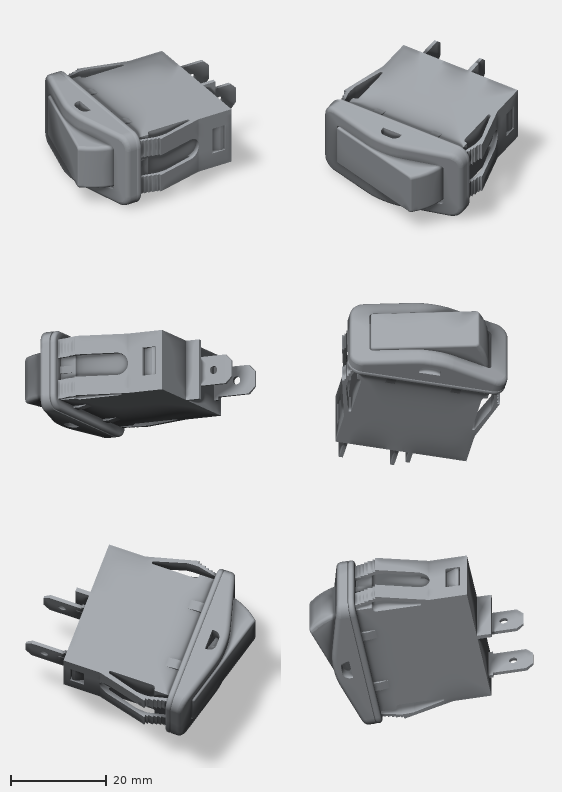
import cadquery as cq
import math


BEZEL_LENGTH = 34.0
BEZEL_HEIGHT = 17.0
BEZEL_CORNER_RADIUS = 2.9
GASKET_THICKNESS = 1.3
GASKET_BACK_RADIUS = 0.6
GASKET_FRONT_RADIUS = 0.5
BEZEL_DEPTH = 7.4
BEZEL_EDGE_RADIUS = 1.0
CREST_FLAT_HALF = 0.48
CREST_ARC_RADIUS = 15.4
TILT = 15.0

OPENING_LENGTH = 26.3
OPENING_HEIGHT = 10.36
OPENING_CORNER_RADIUS = 0.75
OPENING_FLOOR_Y = -1.5
PIVOT_Y = -3.1
PIVOT_HOLE_WIDTH = 4.56
PIVOT_HOLE_BACK_Y = -3.66
PIVOT_HOLE_FRONT_Y = -5.68
PIVOT_HOLE_CORNER_RADIUS = 1.5

ROCKER_HEIGHT = 10.0
ROCKER_LEFT = -12.05
ROCKER_FACE = -5.27
ROCKER_BACK = 5.0
ROCKER_END_RADIUS = 13.9
ROCKER_END_CENTRE = (-1.46, 1.5)
ROCKER_EDGE_RADIUS = 0.5
ROCKER_END_EDGE_RADIUS = 0.8
ROCKER_TAIL_EDGE_RADIUS = 0.35
ROCKER_NOTCH_WIDTH = 3.2
ROCKER_NOTCH_FLOOR = -0.7
PIN_RADIUS = 1.15
PIN_CENTRE = (-0.72, -1.9)
PIN_LENGTH = 1.0
PIN_RAMP_WIDTH = 1.2

BODY_HALF_LENGTH = BEZEL_LENGTH / 2 - BEZEL_CORNER_RADIUS
BODY_HEIGHT = 12.8
BODY_BACK_Y = 23.7
CORE_HALF_LENGTH = 13.0
WALL = BODY_HALF_LENGTH - CORE_HALF_LENGTH
SHOULDER_Y = 4.25
SHOULDER_INNER_RADIUS = 0.8
SHOULDER_OUTER_RADIUS = WALL - SHOULDER_INNER_RADIUS

ARM_BEND_Y = 15.6
ARM_GAP_RADIUS = 0.33
ARM_GAP_END_Y = 13.8
ARM_INNER_X = 15.73
ARM_INNER_CURVE_START = (15.6, 6.9)
ARM_INNER_CURVE_MID = (15.71, 5.7)
ARM_INNER_CURVE_END_Y = 4.2
ARM_FOOT_INNER_X = 14.75
TOOTH_STEPS_Y = (4.0, 2.9, 2.1, 1.28, 0.57)
TOOTH_TOP_Y = 4.57
TOOTH_CREST_X = 15.57
TOOTH_DEPTH = 0.38
ARM_SLOT_HEIGHT = 4.8
ARM_SLOT_END_Y = 15.7

RIB_HEIGHT = 1.5
RIB_START_Y = 2.8
RIB_FULL_Y = 0.57
RIB_RISE = 0.4
NUB_X = 7.0
NUB_WIDTH = 2.1
NUB_START_Y = 3.2
NUB_FULL_Y = 1.3
NUB_RISE = 0.45
WINDOW_BACK_Y = 22.2
WINDOW_FRONT_Y = 19.1
WINDOW_HEIGHT = 6.0
LATCH_BACK_Y = 21.9
LATCH_CREST_Y = 21.2
LATCH_FRONT_Y = 19.3
LATCH_RISE = 0.8

TERMINAL_XS = (-11.05, 0.0)
TERMINAL_THICKNESS = 0.74
TERMINAL_TIP_Y = 33.2
TERMINAL_HALF_WIDTH = 3.1
TERMINAL_TIP_CHAMFER = 1.4
TERMINAL_TIP_TAPER = 0.12
TERMINAL_SHOULDER_HALF_WIDTH = 3.8
TERMINAL_SHOULDER_Y = 24.65
TERMINAL_HOLE_DIAMETER = 1.7
TERMINAL_HOLE_Y = 29.0
STOP_HALF_WIDTH = 1.32
STOP_END_Y = 25.75
STOP_RISE = 0.1
BARRIER_X = 2.13
BARRIER_THICKNESS = 0.9
BARRIER_END_Y = 26.75

EMBED = 0.5


def block(x_range, y_range, z_range):
    """Box between pairs of limits."""
    sizes = [high - low for low, high in (x_range, y_range, z_range)]
    corner = (x_range[0], y_range[0], z_range[0])
    return cq.Workplane("XY").box(*sizes, centered=False).translate(corner)


def slab(outline, height):
    """Extrude a closed XY outline to a height centred on Z = 0."""
    return outline.extrude(height / 2, both=True)


def both_ends(piece):
    """A piece at the +X end together with its mirror image at the -X end."""
    return piece.union(piece.mirror("YZ"))


def rounded_plate(length, height, radius, front_y, back_y):
    """Plate in the XZ plane with rounded corners, between two Y positions."""
    plate = cq.Workplane("XZ", origin=(0, back_y, 0)).rect(length, height).extrude(back_y - front_y)
    return plate.edges("|Y").fillet(radius)


def make_bezel():
    tilt = math.radians(TILT)
    half = BEZEL_LENGTH / 2
    arc_end_x = CREST_FLAT_HALF + CREST_ARC_RADIUS * math.sin(tilt)
    arc_end_y = -BEZEL_DEPTH + CREST_ARC_RADIUS * (1 - math.cos(tilt))
    arc_mid_x = CREST_FLAT_HALF + CREST_ARC_RADIUS * math.sin(tilt / 2)
    arc_mid_y = -BEZEL_DEPTH + CREST_ARC_RADIUS * (1 - math.cos(tilt / 2))
    side_y = arc_end_y + (half - arc_end_x) * math.tan(tilt)
    profile = (
        cq.Workplane("XY")
        .moveTo(-half, -GASKET_THICKNESS)
        .lineTo(-half, side_y)
        .lineTo(-arc_end_x, arc_end_y)
        .threePointArc((-arc_mid_x, arc_mid_y), (-CREST_FLAT_HALF, -BEZEL_DEPTH))
        .lineTo(CREST_FLAT_HALF, -BEZEL_DEPTH)
        .threePointArc((arc_mid_x, arc_mid_y), (arc_end_x, arc_end_y))
        .lineTo(half, side_y)
        .lineTo(half, -GASKET_THICKNESS)
        .close()
    )
    frame = slab(profile, BEZEL_HEIGHT).edges("|Y").fillet(BEZEL_CORNER_RADIUS)
    frame = frame.faces("<Y").edges("not |Z").fillet(BEZEL_EDGE_RADIUS)
    gasket = rounded_plate(BEZEL_LENGTH, BEZEL_HEIGHT, BEZEL_CORNER_RADIUS, -GASKET_THICKNESS, 0)
    gasket = gasket.faces(">Y").edges().fillet(GASKET_BACK_RADIUS)
    gasket = gasket.faces("<Y").edges().fillet(GASKET_FRONT_RADIUS)
    opening = rounded_plate(
        OPENING_LENGTH, OPENING_HEIGHT, OPENING_CORNER_RADIUS, -2 * BEZEL_DEPTH, OPENING_FLOOR_Y
    )
    hole_half = PIVOT_HOLE_WIDTH / 2
    pivot_hole = block(
        (-hole_half, hole_half), (PIVOT_HOLE_FRONT_Y, PIVOT_HOLE_BACK_Y), (-BEZEL_HEIGHT, BEZEL_HEIGHT)
    )
    pivot_hole = pivot_hole.edges("|Z and <Y").fillet(PIVOT_HOLE_CORNER_RADIUS)
    return frame.union(gasket).cut(opening).cut(pivot_hole)


def make_rocker():
    centre_x, centre_y = ROCKER_END_CENTRE

    def end_x(y):
        return centre_x + math.sqrt(ROCKER_END_RADIUS**2 - (y - centre_y) ** 2)

    profile = (
        cq.Workplane("XY")
        .moveTo(ROCKER_LEFT, ROCKER_BACK)
        .lineTo(ROCKER_LEFT, ROCKER_FACE)
        .lineTo(end_x(ROCKER_FACE), ROCKER_FACE)
        .threePointArc((end_x(centre_y), centre_y), (end_x(ROCKER_BACK), ROCKER_BACK))
        .close()
    )
    rocker = slab(profile, ROCKER_HEIGHT)
    rocker = rocker.edges("%CIRCLE").fillet(ROCKER_END_EDGE_RADIUS)
    rocker = rocker.edges("|Z and <X and <Y").fillet(ROCKER_TAIL_EDGE_RADIUS)
    rocker = rocker.edges("<Y or (<X and |Y)").fillet(ROCKER_EDGE_RADIUS)
    notch = block(
        (0, ROCKER_NOTCH_WIDTH), (ROCKER_NOTCH_FLOOR, ROCKER_BACK), (-ROCKER_HEIGHT, ROCKER_HEIGHT)
    )
    rocker = rocker.cut(notch)
    pin = make_pivot_pin()
    rocker = rocker.union(pin).union(pin.mirror("XY"))
    return rocker.rotate((0, 0, 0), (0, 0, 1), -TILT).translate((0, PIVOT_Y, 0))


def make_pivot_pin():
    """Round pin on top of the rocker, with a lead-in ramp along its back."""
    base_z = ROCKER_HEIGHT / 2
    centre_x, centre_y = PIN_CENTRE
    front_y = centre_y - PIN_RADIUS
    back_y = centre_y + PIN_RADIUS
    disc = cq.Workplane("XY", origin=(centre_x, centre_y, base_z)).circle(PIN_RADIUS).extrude(PIN_LENGTH)
    ramp_space = (
        cq.Workplane("YZ", origin=(centre_x, 0, 0))
        .moveTo(front_y, base_z)
        .lineTo(back_y, base_z)
        .lineTo(back_y - PIN_RAMP_WIDTH, base_z + PIN_LENGTH)
        .lineTo(front_y, base_z + PIN_LENGTH)
        .close()
        .extrude(PIN_RADIUS, both=True)
    )
    return disc.intersect(ramp_space)


def make_body():
    half_height = BODY_HEIGHT / 2
    z_range = (-half_height, half_height)
    back = block((-BODY_HALF_LENGTH, BODY_HALF_LENGTH), (ARM_BEND_Y, BODY_BACK_Y), z_range)
    core = block((-CORE_HALF_LENGTH, CORE_HALF_LENGTH), (-EMBED, ARM_BEND_Y), z_range)
    return back.union(core).union(both_ends(make_shoulder()))


def make_shoulder():
    """Step from the core out to the full body length, just behind the bezel."""
    diagonal = math.sqrt(0.5)
    turn_x = CORE_HALF_LENGTH + SHOULDER_INNER_RADIUS
    turn_y = SHOULDER_Y - SHOULDER_INNER_RADIUS
    side_y = turn_y - SHOULDER_OUTER_RADIUS
    inner_mid = (turn_x - SHOULDER_INNER_RADIUS * diagonal, SHOULDER_Y - SHOULDER_INNER_RADIUS * diagonal)
    outer_mid = (turn_x + SHOULDER_OUTER_RADIUS * diagonal, side_y + SHOULDER_OUTER_RADIUS * diagonal)
    profile = (
        cq.Workplane("XY")
        .moveTo(CORE_HALF_LENGTH - EMBED, SHOULDER_Y)
        .lineTo(CORE_HALF_LENGTH, SHOULDER_Y)
        .threePointArc(inner_mid, (turn_x, turn_y))
        .threePointArc(outer_mid, (BODY_HALF_LENGTH, side_y))
        .lineTo(BODY_HALF_LENGTH, -EMBED)
        .lineTo(CORE_HALF_LENGTH - EMBED, -EMBED)
        .close()
    )
    return slab(profile, BODY_HEIGHT)


def make_arm():
    """Snap arm at the +X end: bent outward, with saw teeth toward the bezel and a slot down its middle."""
    gap_side_x = CORE_HALF_LENGTH + 2 * ARM_GAP_RADIUS
    gap_start_y = ARM_GAP_END_Y - ARM_GAP_RADIUS
    outline = (
        cq.Workplane("XY")
        .moveTo(CORE_HALF_LENGTH, ARM_BEND_Y)
        .lineTo(BODY_HALF_LENGTH, ARM_BEND_Y)
        .lineTo(BEZEL_LENGTH / 2, TOOTH_TOP_Y)
    )
    tooth_slope = math.tan(math.radians(TILT))
    step_y = TOOTH_TOP_Y
    for next_step_y in TOOTH_STEPS_Y:
        crest_x = TOOTH_CREST_X + next_step_y * tooth_slope
        root_x = TOOTH_CREST_X + step_y * tooth_slope - TOOTH_DEPTH
        outline = outline.lineTo(root_x, step_y).lineTo(crest_x, next_step_y)
        step_y = next_step_y
    foot_x = TOOTH_CREST_X + step_y * tooth_slope - TOOTH_DEPTH / 2
    outline = (
        outline.lineTo(foot_x, step_y)
        .lineTo(foot_x, -EMBED)
        .lineTo(ARM_FOOT_INNER_X, -EMBED)
        .lineTo(ARM_FOOT_INNER_X, 0)
        .lineTo(ARM_INNER_X, ARM_INNER_CURVE_END_Y)
        .threePointArc(ARM_INNER_CURVE_MID, ARM_INNER_CURVE_START)
        .lineTo(gap_side_x, gap_start_y)
        .threePointArc((CORE_HALF_LENGTH + ARM_GAP_RADIUS, ARM_GAP_END_Y), (CORE_HALF_LENGTH, gap_start_y))
        .close()
    )
    return slab(outline, BODY_HEIGHT)


def make_arm_slot():
    """Round-ended slot that splits the arm in two and reaches in to the core."""
    radius = ARM_SLOT_HEIGHT / 2
    centre_y = ARM_SLOT_END_Y - radius
    plane = cq.Workplane("YZ", origin=(CORE_HALF_LENGTH, 0, 0))
    round_end = plane.center(centre_y, 0).circle(radius).extrude(BEZEL_LENGTH)
    straight = block((CORE_HALF_LENGTH, BEZEL_LENGTH), (SHOULDER_Y, centre_y), (-radius, radius))
    front = block((ARM_FOOT_INNER_X - EMBED, BEZEL_LENGTH), (0, SHOULDER_Y), (-radius, radius))
    return round_end.union(straight).union(front)


def make_rib():
    """Small tapered rib on the end of the body, between the two halves of the arm."""
    crest_x = BODY_HALF_LENGTH + RIB_RISE
    outline = (
        cq.Workplane("XY")
        .moveTo(BODY_HALF_LENGTH - EMBED, RIB_START_Y)
        .lineTo(BODY_HALF_LENGTH, RIB_START_Y)
        .lineTo(crest_x, RIB_FULL_Y)
        .lineTo(crest_x, -EMBED)
        .lineTo(BODY_HALF_LENGTH - EMBED, -EMBED)
        .close()
    )
    return slab(outline, RIB_HEIGHT)


def make_nub(x):
    """Ramped nub on top of the body that presses on the panel cut-out."""
    base_z = BODY_HEIGHT / 2
    return (
        cq.Workplane("YZ", origin=(x - NUB_WIDTH / 2, 0, 0))
        .moveTo(NUB_START_Y, base_z - EMBED)
        .lineTo(NUB_START_Y, base_z)
        .lineTo(NUB_FULL_Y, base_z + NUB_RISE)
        .lineTo(-EMBED, base_z + NUB_RISE)
        .lineTo(-EMBED, base_z - EMBED)
        .close()
        .extrude(NUB_WIDTH)
    )


def make_window():
    """Void of the latch window in the end wall, leaving the ramped latch inside it."""
    outside = BODY_HALF_LENGTH + EMBED
    crest_x = CORE_HALF_LENGTH + LATCH_RISE
    outline = (
        cq.Workplane("XY")
        .moveTo(outside, WINDOW_BACK_Y)
        .lineTo(CORE_HALF_LENGTH, WINDOW_BACK_Y)
        .lineTo(CORE_HALF_LENGTH, LATCH_BACK_Y)
        .lineTo(crest_x, LATCH_BACK_Y)
        .lineTo(crest_x, LATCH_CREST_Y)
        .lineTo(CORE_HALF_LENGTH, LATCH_FRONT_Y)
        .lineTo(CORE_HALF_LENGTH, WINDOW_FRONT_Y)
        .lineTo(outside, WINDOW_FRONT_Y)
        .close()
    )
    return slab(outline, WINDOW_HEIGHT)


def make_terminal(x):
    """Blade terminal: shoulder at the housing, wire hole, and a tip narrowed in width and thickness."""
    half_thickness = TERMINAL_THICKNESS / 2
    root_y = BODY_BACK_Y - EMBED
    taper_y = TERMINAL_TIP_Y - TERMINAL_TIP_CHAMFER
    tip_half_width = TERMINAL_HALF_WIDTH - TERMINAL_TIP_CHAMFER
    tip_half_thickness = half_thickness - TERMINAL_TIP_TAPER
    silhouette = (
        cq.Workplane("YZ")
        .polyline(
            [
                (root_y, -TERMINAL_HALF_WIDTH),
                (taper_y, -TERMINAL_HALF_WIDTH),
                (TERMINAL_TIP_Y, -tip_half_width),
                (TERMINAL_TIP_Y, tip_half_width),
                (taper_y, TERMINAL_HALF_WIDTH),
                (root_y, TERMINAL_HALF_WIDTH),
            ]
        )
        .close()
        .extrude(half_thickness, both=True)
    )
    thickness_profile = (
        cq.Workplane("XY")
        .polyline(
            [
                (-half_thickness, root_y),
                (half_thickness, root_y),
                (half_thickness, taper_y),
                (tip_half_thickness, TERMINAL_TIP_Y),
                (-tip_half_thickness, TERMINAL_TIP_Y),
                (-half_thickness, taper_y),
            ]
        )
        .close()
    )
    blade = silhouette.intersect(slab(thickness_profile, 2 * TERMINAL_HALF_WIDTH))
    hole = cq.Workplane("YZ").center(TERMINAL_HOLE_Y, 0).circle(TERMINAL_HOLE_DIAMETER / 2)
    blade = blade.cut(hole.extrude(half_thickness, both=True))
    shoulder = block(
        (-half_thickness, half_thickness),
        (root_y, TERMINAL_SHOULDER_Y),
        (-TERMINAL_SHOULDER_HALF_WIDTH, TERMINAL_SHOULDER_HALF_WIDTH),
    )
    stop = block(
        (-half_thickness - STOP_RISE, half_thickness),
        (root_y, STOP_END_Y),
        (-STOP_HALF_WIDTH, STOP_HALF_WIDTH),
    )
    return blade.union(shoulder).union(stop).translate((x, 0, 0))


def make_barrier():
    """Insulating wall beside the middle terminal, as high as the body."""
    half = BARRIER_THICKNESS / 2
    return block(
        (BARRIER_X - half, BARRIER_X + half),
        (BODY_BACK_Y - EMBED, BARRIER_END_Y),
        (-BODY_HEIGHT / 2, BODY_HEIGHT / 2),
    )


housing = make_body().union(both_ends(make_arm())).cut(both_ends(make_arm_slot()))
housing = housing.cut(both_ends(make_window())).union(both_ends(make_rib()))
for nub_x in (-NUB_X, NUB_X):
    nub = make_nub(nub_x)
    housing = housing.union(nub).union(nub.mirror("XY"))
for terminal_x in TERMINAL_XS:
    housing = housing.union(make_terminal(terminal_x))

result = housing.union(make_barrier()).union(make_bezel()).union(make_rocker())